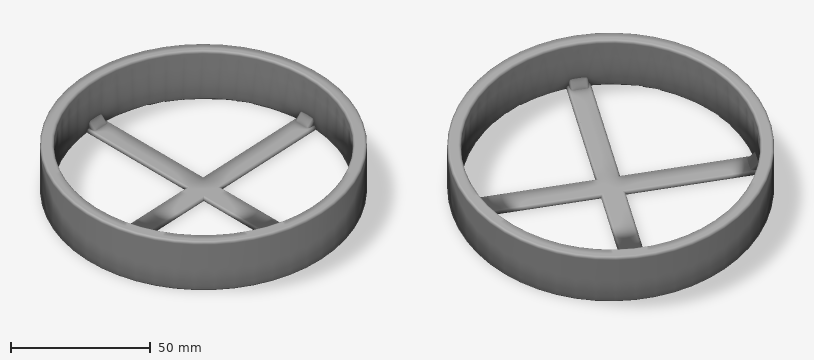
import cadquery as cq

outer_diameter = 117.0
inner_diameter = 107.0
ring_height = 22.0
edge_radius = 1.0

bar_width = 9.0
bar_thickness = 2 * edge_radius

gusset_length = 2.9
gusset_height = 2.9
gusset_width = bar_width - 2 * edge_radius

inner_radius = inner_diameter / 2
wall_thickness = (outer_diameter - inner_diameter) / 2
wall_middle_radius = inner_radius + wall_thickness / 2


def make_ring():
    """Plain ring with all four circular edges rounded."""
    ring = cq.Workplane("XY").circle(outer_diameter / 2).circle(inner_radius).extrude(ring_height)
    return ring.edges("%CIRCLE").fillet(edge_radius)


def make_cross():
    """Two crossing bars with half-round sides, ending inside the ring wall."""
    bar_length = 2 * wall_middle_radius
    side = bar_width / 2
    flat_edge = side - edge_radius
    bar = (
        cq.Workplane("YZ")
        .moveTo(-flat_edge, 0)
        .lineTo(flat_edge, 0)
        .threePointArc((side, edge_radius), (flat_edge, bar_thickness))
        .lineTo(-flat_edge, bar_thickness)
        .threePointArc((-side, edge_radius), (-flat_edge, 0))
        .close()
        .extrude(bar_length / 2, both=True)
    )
    return bar.union(bar.rotate((0, 0, 0), (0, 0, 1), 90))


def make_gusset():
    """Wedge on the +X bar, with rounded slope edges, reaching into the ring wall."""
    slope_start = inner_radius - gusset_length
    top = bar_thickness + gusset_height
    gusset = (
        cq.Workplane("XZ")
        .moveTo(slope_start, bar_thickness)
        .lineTo(inner_radius, top)
        .lineTo(wall_middle_radius, top)
        .lineTo(wall_middle_radius, edge_radius)
        .lineTo(slope_start, edge_radius)
        .close()
        .extrude(gusset_width / 2, both=True)
    )
    slope_middle = (inner_radius - gusset_length / 2, 0, bar_thickness + gusset_height / 2)
    slope_edges = gusset.faces(cq.selectors.NearestToPointSelector(slope_middle)).edges("not |Y")
    return gusset.newObject(slope_edges.vals()).fillet(edge_radius)


result = make_ring().union(make_cross())
gusset = make_gusset()
for angle in (0, 90, 180, 270):
    result = result.union(gusset.rotate((0, 0, 0), (0, 0, 1), angle))